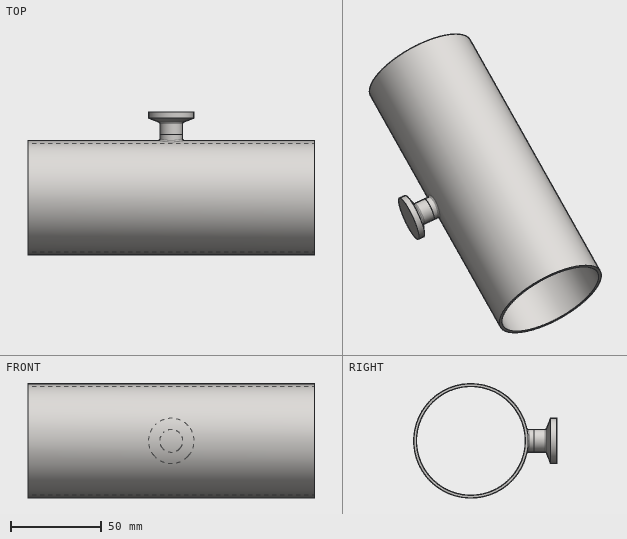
import cadquery as cq

tube_length = 158.8
tube_radius = 63.5 / 2
wall = 1.65

branch_end = 79.35 - tube_radius
neck_radius = 12.7 / 2
stub_root_fillet = 0.8

ferrule_length = 12.7
flange_radius = 25.2 / 2
flange_thickness = 3.5
shoulder_length = 2.4
shoulder_fillet = 0.9

joint = branch_end - ferrule_length
flange_back = branch_end - flange_thickness
shoulder_start = flange_back - shoulder_length


def along_x(radius):
    """Cylinder on the tube axis over the full tube length."""
    return cq.Workplane("YZ").circle(radius).extrude(tube_length / 2, both=True)


def edge_zone(start, end):
    """Selects the edges that lie wholly around the branch between y = start and y = end."""
    reach = 2 * neck_radius
    return cq.selectors.BoxSelector((-reach, start, -reach), (reach, end, reach), boundingbox=True)


def make_tube():
    """Tube with a short plain stub, filleted where the stub leaves the tube."""
    stub = cq.Workplane("XZ").circle(neck_radius).extrude(-joint)
    body = along_x(tube_radius).union(stub)
    root_zone = edge_zone(0, (tube_radius + joint) / 2)
    body = body.edges(root_zone).fillet(stub_root_fillet)
    return body.cut(along_x(tube_radius - wall))


def make_ferrule():
    """Turned ferrule: plain neck, conical shoulder with a filleted foot, and clamp flange."""
    blank = (
        cq.Workplane("XY")
        .moveTo(0, joint)
        .lineTo(neck_radius, joint)
        .lineTo(neck_radius, shoulder_start)
        .lineTo(flange_radius, flange_back)
        .lineTo(flange_radius, branch_end)
        .lineTo(0, branch_end)
        .close()
        .revolve(360, (0, 0, 0), (0, 1, 0))
    )
    foot_zone = edge_zone(shoulder_start - shoulder_fillet, shoulder_start + shoulder_fillet)
    return blank.edges(foot_zone).fillet(shoulder_fillet)


tube = make_tube()
ferrule = make_ferrule()

result = cq.Compound.makeCompound([tube.solids().val(), ferrule.solids().val()])